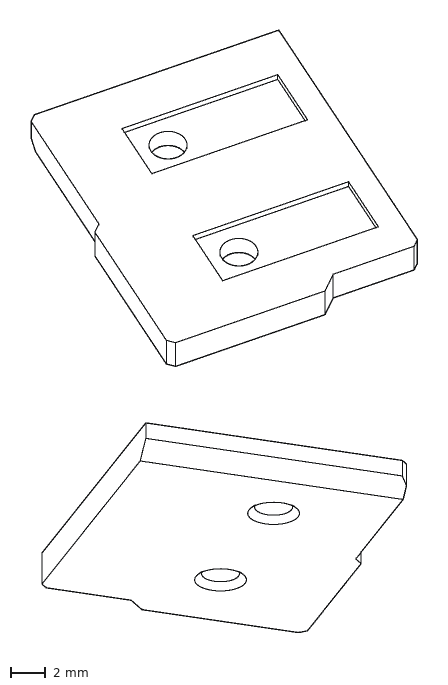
import cadquery as cq

length = 20.0
width = 16.6
thickness = 2.0

corner_cut = 0.4
right_step = 1.0
right_step_y = 10.0
front_step = 0.5
front_step_x = 10.0
end_bevel = 1.0

pocket_length = 10.0
pocket_width = 4.0
pocket_depth = 0.4
pocket_front_y = 5.0
pocket_centers_x = (5.2, 14.7)
hole_diameter = 2.2
hole_countersink = 0.4
hole_offset = 2.0


def make_plate():
    """Stepped plate with bevelled plan corners."""
    set_back_x = length - right_step
    outline = [
        (0, front_step + corner_cut),
        (corner_cut, front_step),
        (front_step_x - front_step, front_step),
        (front_step_x, 0),
        (length - corner_cut, 0),
        (length, corner_cut),
        (length, right_step_y),
        (set_back_x, right_step_y + right_step),
        (set_back_x, width - corner_cut),
        (set_back_x - corner_cut, width),
        (0, width),
    ]
    return cq.Workplane("XY").polyline(outline).close().extrude(thickness)


def make_end_bevel():
    """Triangular prism removed from under the left end."""
    triangle = [(0, 0), (end_bevel, 0), (0, end_bevel)]
    return cq.Workplane("XZ").polyline(triangle).close().extrude(-width)


def make_pocket(center_x):
    """Shallow rectangular recess with a through hole flared at the underside."""
    pocket_center_y = pocket_front_y + pocket_length / 2
    recess = (
        cq.Workplane("XY", origin=(center_x, pocket_center_y, thickness - pocket_depth))
        .rect(pocket_width, pocket_length)
        .extrude(pocket_depth)
    )
    hole = (
        cq.Workplane("XY", origin=(center_x, pocket_front_y + hole_offset, 0))
        .circle(hole_diameter / 2)
        .extrude(thickness)
    )
    flare = (
        cq.Workplane("XY", origin=(center_x, pocket_front_y + hole_offset, 0))
        .circle(hole_diameter / 2 + hole_countersink)
        .extrude(hole_countersink, taper=45)
    )
    return recess.union(hole).union(flare)


result = make_plate().cut(make_end_bevel())
for pocket_x in pocket_centers_x:
    result = result.cut(make_pocket(pocket_x))